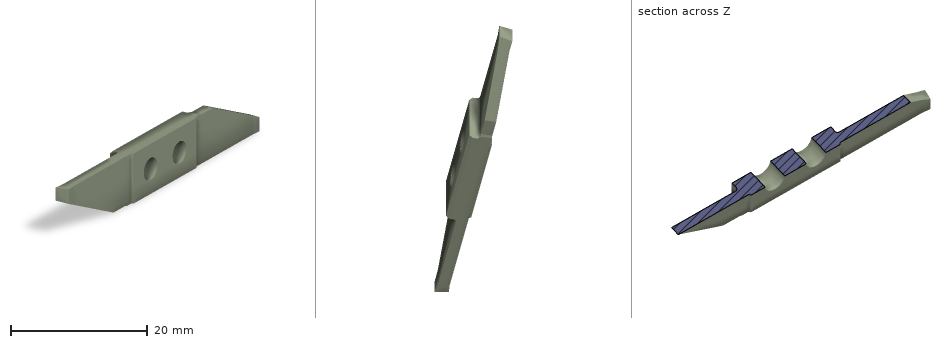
import cadquery as cq
import math

length = 50.5
width = 3.6
height = 8.0

body_front_half = 9.05
body_back_half = 8.2
edge_chamfer = 0.5
front_fillet = 0.45
back_fillet = 0.3

arm_left = -0.25
arm_right = width / 2 - back_fillet
arm_step = 0.15
step_ramp = 0.45
taper_start = 13.0
taper_angle = 25.0

tip_length = 1.85
tip_flare = 0.15
tip_setback = 0.45

hole_diameter = 3.55
hole_pitch = 7.5

half_length = length / 2
half_width = width / 2
half_height = height / 2


def plan_half():
    """Outline of the +Y half in the XY plane, extruded to full height."""
    arc_offset = 1 - math.sqrt(0.5)
    left_root = body_front_half + front_fillet
    right_root = body_back_half + back_fillet
    flare_start = half_length - tip_length
    return (
        cq.Workplane("XY", origin=(0, 0, -half_height))
        .moveTo(-half_width, 0)
        .lineTo(-half_width, body_front_half)
        .lineTo(arm_left - front_fillet, body_front_half)
        .threePointArc(
            (arm_left - front_fillet * arc_offset, body_front_half + front_fillet * arc_offset),
            (arm_left, left_root),
        )
        .lineTo(arm_left, flare_start)
        .lineTo(arm_left - tip_flare, half_length)
        .lineTo(arm_right + tip_flare, half_length - tip_setback)
        .lineTo(arm_right, flare_start)
        .lineTo(arm_right, right_root)
        .threePointArc(
            (arm_right + back_fillet * arc_offset, body_back_half + back_fillet * arc_offset),
            (half_width, body_back_half),
        )
        .lineTo(half_width, 0)
        .close()
        .extrude(height)
    )


def side_half():
    """Side outline of the +Y half: body, short step ramp and tapered arm."""
    ramp_start = body_front_half + front_fillet
    arm_top = half_height - arm_step
    taper_drop = (half_length - taper_start) * math.tan(math.radians(taper_angle))
    return (
        cq.Workplane("YZ", origin=(-half_width, 0, 0))
        .polyline([
            (0, -half_height),
            (half_length, -half_height),
            (half_length, arm_top - taper_drop),
            (taper_start, arm_top),
            (ramp_start + step_ramp, arm_top),
            (ramp_start, half_height),
            (0, half_height),
        ])
        .close()
        .extrude(width)
    )


half = plan_half().intersect(side_half())
part = half.union(half.rotate((0, 0, 0), (1, 0, 0), 180))

part = part.faces("<X").edges("|Y").chamfer(edge_chamfer)

holes = (
    cq.Workplane("YZ", origin=(-half_width, 0, 0))
    .pushPoints([(-hole_pitch / 2, 0), (hole_pitch / 2, 0)])
    .circle(hole_diameter / 2)
    .extrude(width)
)
result = part.cut(holes)